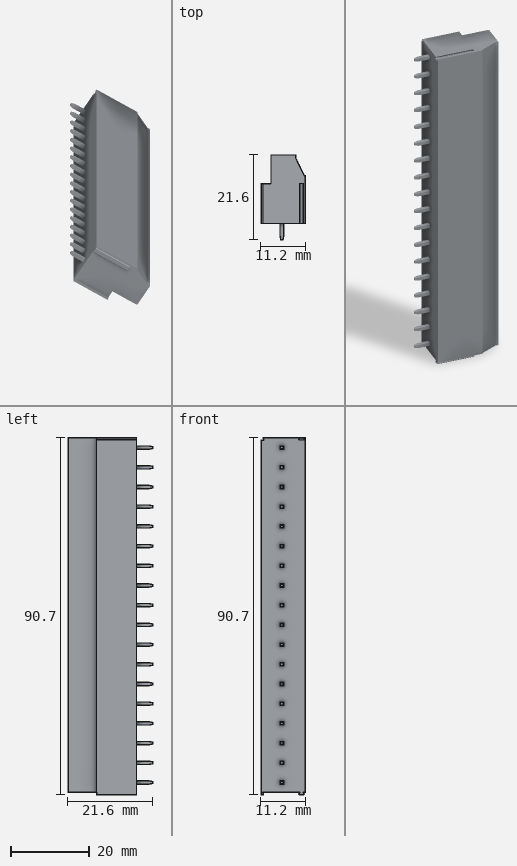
import cadquery as cq

pole_count = 18
total_height = 90.65
tongue_height = 0.6
body_height = total_height - tongue_height
pitch = body_height / pole_count

width = 11.2
depth = 17.5
shoulder_depth = 10.15
shoulder_width = 2.45
slope_top_x = 8.8
slope_top_y = 16.7
slope_foot_x = 11.0
slope_foot_y = 12.2
back_chamfer = 0.2

joint_length = shoulder_depth
flare_height = 0.45
edge_joint_neck = 0.45
edge_joint_head = 0.6
dovetail_x = 10.2
dovetail_neck = 0.8
dovetail_bulge = 1.45
dovetail_end = 1.1

pin_x = 5.3
pin_width = 1.0
pin_thickness = 0.9
pin_length = 4.1
pin_taper_length = 1.0
pin_tip_width = 0.6
pin_tip_thickness = 0.5


def make_body():
    outline = [
        (0, 0),
        (width, 0),
        (width, slope_foot_y),
        (slope_foot_x, slope_foot_y),
        (slope_top_x, slope_top_y),
        (slope_top_x, depth),
        (shoulder_width + back_chamfer, depth),
        (shoulder_width, depth - back_chamfer),
        (shoulder_width, shoulder_depth),
        (0, shoulder_depth),
    ]
    base = cq.Workplane("XY", origin=(0, 0, tongue_height))
    return base.polyline(outline).close().extrude(body_height)


def make_joint(neck_z):
    """Edge rail and dovetail rail along Y, hanging down from neck_z and widest near the end."""
    widest_z = neck_z - flare_height
    end_z = neck_z - tongue_height
    edge_profile = [
        (0, neck_z),
        (edge_joint_neck, neck_z),
        (edge_joint_head, widest_z),
        (edge_joint_head, end_z),
        (0, end_z),
    ]
    dovetail_profile = [
        (dovetail_x - dovetail_neck / 2, neck_z),
        (dovetail_x + dovetail_neck / 2, neck_z),
        (dovetail_x + dovetail_bulge / 2, widest_z),
        (dovetail_x + dovetail_end / 2, end_z),
        (dovetail_x - dovetail_end / 2, end_z),
        (dovetail_x - dovetail_bulge / 2, widest_z),
    ]
    edge_rail = cq.Workplane("XZ").polyline(edge_profile).close().extrude(-joint_length)
    dovetail_rail = cq.Workplane("XZ").polyline(dovetail_profile).close().extrude(-joint_length)
    return edge_rail.union(dovetail_rail)


def make_pin(z):
    straight_length = pin_length - pin_taper_length
    shank = cq.Workplane("XZ", origin=(pin_x, 0, z)).rect(pin_width, pin_thickness).extrude(straight_length)
    tip = (
        shank.faces("<Y")
        .workplane()
        .rect(pin_width, pin_thickness)
        .workplane(offset=pin_taper_length)
        .rect(pin_tip_width, pin_tip_thickness)
        .loft(combine=False)
    )
    return shank.union(tip)


result = make_body().union(make_joint(tongue_height)).cut(make_joint(total_height))
for pole in range(pole_count):
    result = result.union(make_pin(tongue_height + (pole + 0.5) * pitch))